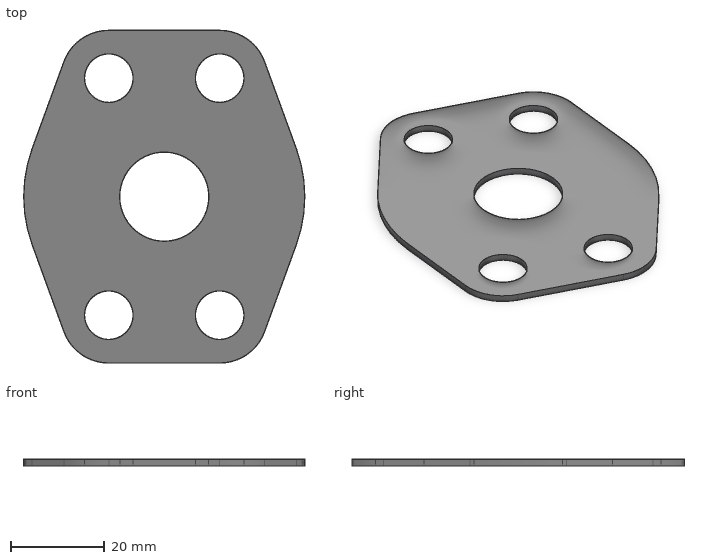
import cadquery as cq
import math

length = 71.4
width = 60.3
thickness = 1.5
bolt_spacing_x = 23.8
bolt_spacing_y = 50.8
bolt_hole_diameter = 10.35
bore_diameter = 19.05

bolt_x = bolt_spacing_x / 2
bolt_y = bolt_spacing_y / 2
corner_radius = length / 2 - bolt_y
side_radius = width / 2

bolt_distance = math.hypot(bolt_x, bolt_y)
bolt_angle = math.atan2(bolt_y, bolt_x)
edge_angle = bolt_angle - math.acos((side_radius - corner_radius) / bolt_distance)
corner_mid_angle = (edge_angle + math.pi / 2) / 2


def side_point(angle):
    """Point on the side arc, centred on the bore."""
    return side_radius * math.cos(angle), side_radius * math.sin(angle)


def corner_point(angle):
    """Point on the corner arc around the bolt hole in the +X +Y quadrant."""
    return bolt_x + corner_radius * math.cos(angle), bolt_y + corner_radius * math.sin(angle)


quarter = (
    cq.Workplane("XY")
    .moveTo(*side_point(0))
    .threePointArc(side_point(edge_angle / 2), side_point(edge_angle))
    .lineTo(*corner_point(edge_angle))
    .threePointArc(corner_point(corner_mid_angle), corner_point(math.pi / 2))
    .lineTo(0, length / 2)
)
half = quarter.mirrorY()
plate = half.mirrorX().extrude(thickness)

result = (
    plate.faces(">Z")
    .workplane(origin=(0, 0, thickness))
    .hole(bore_diameter)
    .faces(">Z")
    .workplane(origin=(0, 0, thickness))
    .rarray(bolt_spacing_x, bolt_spacing_y, 2, 2)
    .hole(bolt_hole_diameter)
)